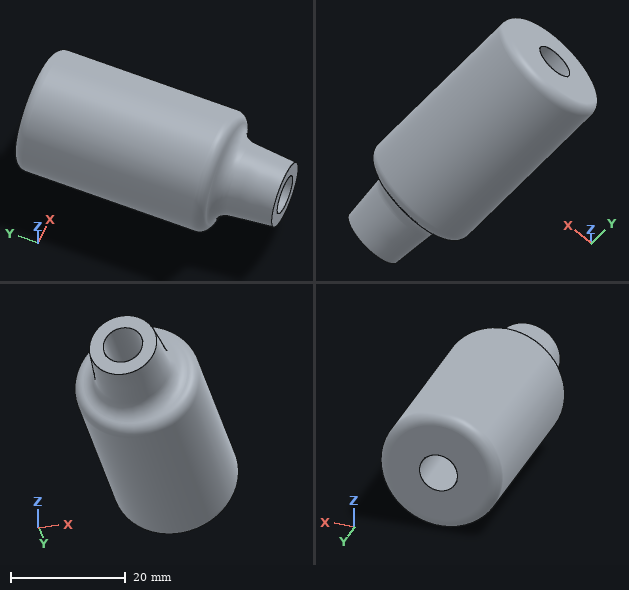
import cadquery as cq
import math

total_length = 47
body_radius = 22.5 / 2
edge_radius = 2.0
tip_radius = 6.0
bore_radius = 3.5
taper_length = 8.22
taper_angle = math.radians(5.4)
flare_radius = 3.0
shoulder_angle = math.radians(11)


def point_on_circle(center, radius, angle):
    """Point at an angle measured from the radial direction toward +Y."""
    return (center[0] + radius * math.cos(angle), center[1] + radius * math.sin(angle))


taper_end = (tip_radius + taper_length * math.tan(taper_angle), taper_length)
flare_center = point_on_circle(taper_end, flare_radius, -taper_angle)

round_center_radius = body_radius - edge_radius
center_offset = flare_center[0] - round_center_radius
center_rise = (
    flare_radius + edge_radius - center_offset * math.sin(shoulder_angle)
) / math.cos(shoulder_angle)
round_center = (round_center_radius, flare_center[1] + center_rise)

flare_end_angle = math.pi / 2 + shoulder_angle
round_start_angle = flare_end_angle - math.pi
flare_mid_angle = (math.pi - taper_angle + flare_end_angle) / 2
round_mid_angle = round_start_angle / 2

rear_center = (round_center_radius, total_length - edge_radius)

profile = (
    cq.Workplane("XY")
    .moveTo(bore_radius, 0)
    .lineTo(tip_radius, 0)
    .lineTo(*taper_end)
    .threePointArc(
        point_on_circle(flare_center, flare_radius, flare_mid_angle),
        point_on_circle(flare_center, flare_radius, flare_end_angle),
    )
    .lineTo(*point_on_circle(round_center, edge_radius, round_start_angle))
    .threePointArc(
        point_on_circle(round_center, edge_radius, round_mid_angle),
        (body_radius, round_center[1]),
    )
    .lineTo(body_radius, rear_center[1])
    .threePointArc(
        point_on_circle(rear_center, edge_radius, math.pi / 4),
        (round_center_radius, total_length),
    )
    .lineTo(bore_radius, total_length)
    .close()
)

result = profile.revolve(360, (0, 0, 0), (0, 1, 0))